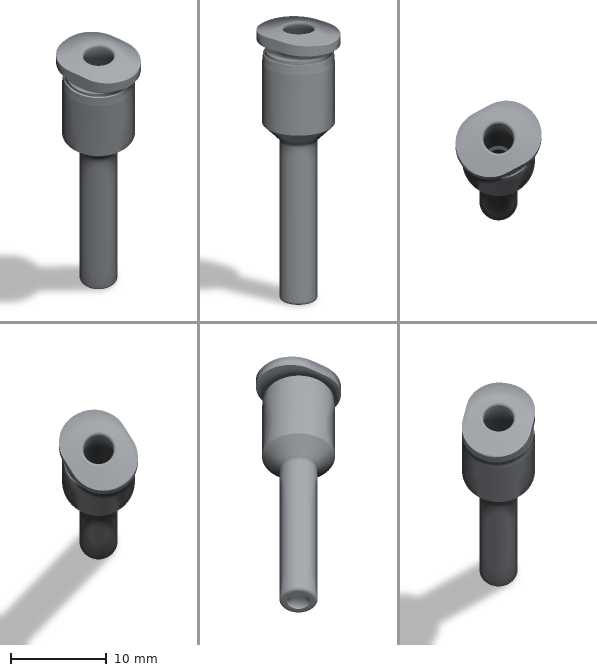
import cadquery as cq
import math

total_height = 30.4
cap_bottom = 28.88
body_top = 28.0
collar_bottom = 27.63
taper_bottom = 26.6
shoulder_top = 19.82

stem_radius = 3.98 / 2
body_radius = 7.6 / 2
taper_top_radius = 7.42 / 2
collar_radius = 7.0 / 2
neck_radius = 4.55 / 2

cap_length = 9.2
cap_width = 7.25
cap_radius = 4.62
cap_dome_drop = 0.43
cap_rim_fillet = 0.2

bore_radius = 2.4 / 2
tube_socket_radius = 3.15 / 2
mouth_fillet = 0.3
mouth_radius = tube_socket_radius + mouth_fillet
socket_floor = shoulder_top

neck_fillet = 0.33
shoulder_fillet = 0.5
stem_end_fillet = 0.35


def revolve_about_z(profile):
    return profile.close().revolve(360, (0, 0, 0), (0, 1, 0))


def make_body():
    """Stem, 45 degree shoulder, body with tapered top, collar and neck."""
    shoulder_bottom = shoulder_top - (body_radius - stem_radius)
    setback = shoulder_fillet * math.tan(math.radians(22.5))
    diagonal_setback = setback * math.sqrt(0.5)
    fillet_start = (stem_radius, shoulder_bottom - setback)
    fillet_end = (stem_radius + diagonal_setback, shoulder_bottom + diagonal_setback)
    profile = (
        cq.Workplane("XZ")
        .lineTo(stem_radius - stem_end_fillet, 0)
        .tangentArcPoint((stem_radius, stem_end_fillet), relative=False)
        .lineTo(*fillet_start)
        .tangentArcPoint(fillet_end, relative=False)
        .lineTo(body_radius, shoulder_top)
        .lineTo(body_radius, taper_bottom)
        .lineTo(taper_top_radius, collar_bottom)
        .lineTo(collar_radius, collar_bottom)
        .lineTo(collar_radius, body_top)
        .lineTo(neck_radius, body_top)
        .lineTo(neck_radius, cap_bottom - neck_fillet)
        .tangentArcPoint((neck_radius + neck_fillet, cap_bottom), relative=False)
        .lineTo(0, cap_bottom)
    )
    return revolve_about_z(profile)


def make_cap():
    """Shallow conical disc with a rounded rim, trimmed to a slot outline."""
    disc = revolve_about_z(
        cq.Workplane("XZ")
        .moveTo(0, cap_bottom)
        .lineTo(cap_radius, cap_bottom)
        .lineTo(cap_radius, total_height - cap_dome_drop)
        .lineTo(mouth_radius, total_height)
        .lineTo(0, total_height)
    )
    disc = disc.faces("%CYLINDER").edges(">Z").fillet(cap_rim_fillet)
    outline = (
        cq.Workplane("XY", origin=(0, 0, cap_bottom))
        .slot2D(cap_length, cap_width)
        .extrude(total_height - cap_bottom)
    )
    return disc.intersect(outline)


def make_bore():
    """Through bore opening into the tube socket, with a rounded mouth."""
    profile = (
        cq.Workplane("XZ")
        .lineTo(bore_radius, 0)
        .lineTo(bore_radius, socket_floor)
        .lineTo(tube_socket_radius, socket_floor)
        .lineTo(tube_socket_radius, total_height - mouth_fillet)
        .tangentArcPoint((mouth_radius, total_height), relative=False)
        .lineTo(0, total_height)
    )
    return revolve_about_z(profile)


result = make_body().union(make_cap()).cut(make_bore())